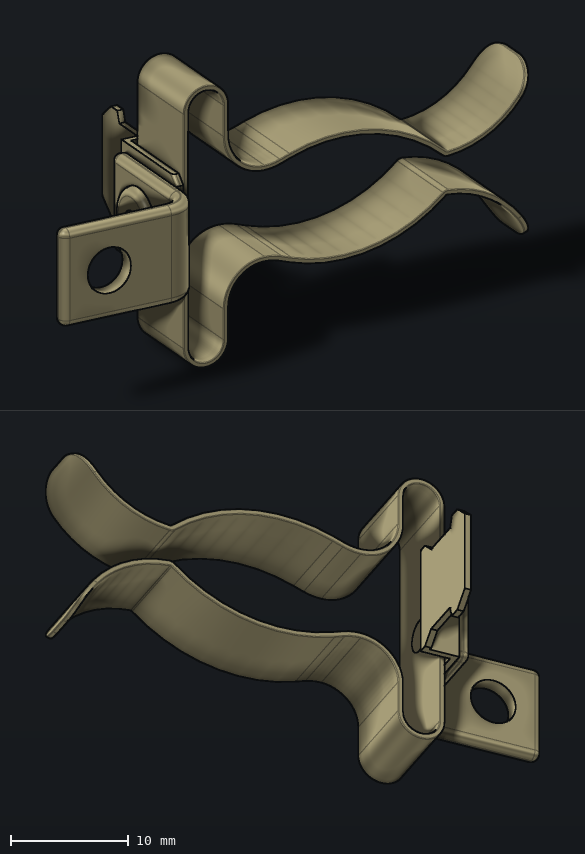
import cadquery as cq
import math


clip_width = 8.0
clip_thickness = 0.5
clip_half_height = 13.01
clip_tip_y = 35.1
loop_depth = 4.4
shoulder_outer_radius = 4.0
waist_radius = 4.8
waist_angle = 19.2
jaw_center_y = 16.04
jaw_center_z = -9.6
jaw_radius = 15.25
flare_radius = 9.7
flare_center_y = 25.71
flare_center_z = 11.45
tip_corner_radius = 3.0
mouth_inner_radius = 0.2
clip_edge_radius = 0.08
smallest_gap = 1e-6

latch_thickness = 0.6
latch_half_height = 5.05
latch_step = 3.36
latch_left = -13.83
latch_right = 4.0
riser_left = -5.62
latch_corner_chamfer = 0.8
latch_end_fillet = 0.3
nose_half_height = 3.75
nose_length = 1.5
barb_length = 1.1
neck_half_height = 4.0
neck_left = -10.87
neck_right = -7.1
neck_end = -5.9

bracket_thickness = 1.5
bracket_height = 9.0
bracket_left = -4.77
bracket_right = 8.28
bracket_bottom = -13.62
bend_outer_radius = 3.0
bracket_edge_radius = 0.7
mount_hole_diameter = 4.2
mount_hole_y = -9.03

rivet_head_radius = 3.0
rivet_head_height = 0.75
rivet_shank_radius = 1.5
dimple_radius = 1.0
dimple_depth = 0.7

clip_back_y = latch_thickness
clip_inner_y = clip_back_y + clip_thickness


def polar(center, radius, degrees):
    angle = math.radians(degrees)
    return (center[0] + radius * math.cos(angle), center[1] + radius * math.sin(angle))


def triangle_angle(side, other, opposite):
    """Angle in degrees between two sides of a triangle, from its three lengths."""
    cosine = (side ** 2 + other ** 2 - opposite ** 2) / (2 * side * other)
    return math.degrees(math.acos(cosine))


def rivet_hole(radius):
    """Cylinder on the rivet axis, long enough to cut every layer."""
    reach = latch_step + bracket_thickness
    return cq.Workplane("XZ", origin=(0, reach, 0)).circle(radius).extrude(2 * reach)


def clip_arcs(offset):
    """Arcs of one face of the upper arm, offset outward from mid-strip.

    Each arc is (center, radius, start, end), angles in degrees, from the loop to the tip.
    """
    half = clip_thickness / 2

    loop_center = (clip_back_y + loop_depth / 2, clip_half_height - loop_depth / 2)
    loop_mid_radius = loop_depth / 2 - half

    shoulder_mid_radius = shoulder_outer_radius - half
    waist_y = clip_back_y + loop_depth - half + shoulder_mid_radius

    jaw_center = (jaw_center_y, jaw_center_z)
    jaw_start = 90 + waist_angle
    jaw_point = polar(jaw_center, jaw_radius, jaw_start)
    slope = math.radians(waist_angle)
    waist_end_y = waist_y + waist_radius * math.sin(slope)
    waist_end_z = jaw_point[1] - (jaw_point[0] - waist_end_y) * math.tan(slope)
    waist_center = (waist_y, waist_end_z + waist_radius * math.cos(slope))
    shoulder_center = (waist_y, waist_center[1] - waist_radius + shoulder_mid_radius)

    flare_center = (flare_center_y, flare_center_z)
    jaw_face_radius = jaw_radius + offset
    flare_face_radius = flare_radius - offset
    across = flare_center_y - jaw_center_y
    rise = flare_center_z - jaw_center_z
    span = math.hypot(across, rise)
    span_angle = math.degrees(math.atan2(rise, across))
    jaw_turn = triangle_angle(jaw_face_radius, span, flare_face_radius)
    flare_turn = triangle_angle(flare_face_radius, span, jaw_face_radius)
    tip_reach = clip_tip_y - half - flare_center_y
    flare_end = -math.degrees(math.acos(tip_reach / flare_radius))

    return [
        (loop_center, loop_mid_radius + offset, 180, 0),
        (shoulder_center, shoulder_mid_radius - offset, 180, 270),
        (waist_center, waist_radius - offset, 270, 270 + waist_angle),
        (jaw_center, jaw_face_radius, jaw_start, span_angle - jaw_turn),
        (flare_center, flare_face_radius, span_angle - 180 + flare_turn, flare_end),
    ]


def trace_arcs(outline, arcs):
    """Continue an outline along arcs, with a straight line across each gap."""
    pen = None
    for center, radius, start, end in arcs:
        arc_start = polar(center, radius, start)
        if pen is None or math.dist(pen, arc_start) > smallest_gap:
            outline = outline.lineTo(*arc_start)
        pen = polar(center, radius, end)
        middle = polar(center, radius, (start + end) / 2)
        outline = outline.threePointArc(middle, pen)
    return outline


def tip_point():
    """Middle of the end face of the upper arm, as (Y, Z)."""
    center, radius, _, end = clip_arcs(0)[-1]
    return polar(center, radius, end)


def make_clip():
    half = clip_thickness / 2
    outer_arcs = clip_arcs(half)
    inner_arcs = [(center, radius, end, start) for center, radius, start, end in clip_arcs(-half)[::-1]]

    section = cq.Workplane("YZ", origin=(-clip_width / 2, 0, 0)).moveTo(clip_back_y, 0)
    section = trace_arcs(section, outer_arcs)
    section = trace_arcs(section, inner_arcs).lineTo(clip_inner_y, 0).close()
    upper_arm = section.extrude(clip_width)

    tip_face = upper_arm.faces(cq.selectors.NearestToPointSelector((0, *tip_point())))
    upper_arm = tip_face.edges("not |X").fillet(tip_corner_radius)

    mouth_radii = ((half, mouth_inner_radius), (-half, mouth_inner_radius + clip_thickness))
    for offset, radius in mouth_radii:
        center, jaw_face_radius, _, mouth_angle = clip_arcs(offset)[-2]
        mouth = polar(center, jaw_face_radius, mouth_angle)
        corner = cq.selectors.NearestToPointSelector((0, *mouth))
        upper_arm = upper_arm.edges("|X").edges(corner).fillet(radius)

    clip = upper_arm.union(upper_arm.mirror("XY"), clean=True)
    clip = clip.faces("<X or >X").edges().fillet(clip_edge_radius)
    return clip.cut(rivet_hole(rivet_shank_radius))


def make_latch():
    """Latch plate: its Z-bent section is trimmed to its front outline."""
    t = latch_thickness
    bent = (
        cq.Workplane("XY", origin=(0, 0, -latch_half_height))
        .moveTo(latch_right, 0)
        .lineTo(riser_left, 0)
        .lineTo(riser_left, latch_step - t)
        .lineTo(latch_left, latch_step - t)
        .lineTo(latch_left, latch_step)
        .lineTo(riser_left + t, latch_step)
        .lineTo(riser_left + t, t)
        .lineTo(latch_right, t)
        .close()
        .extrude(2 * latch_half_height)
    )
    bent = bent.edges("|Y and >X").chamfer(latch_corner_chamfer)
    end_rim = cq.selectors.BoxSelector(
        (latch_right - latch_corner_chamfer, -t / 2, -latch_half_height),
        (latch_right + t, t / 2, latch_half_height),
    )
    bent = bent.faces("<Y").edges(end_rim).fillet(latch_end_fillet)

    nose_end = latch_left + nose_length
    notch = (
        cq.Workplane("XZ", origin=(0, latch_step, 0))
        .polyline([
            (nose_end + barb_length, latch_half_height),
            (neck_left, neck_half_height),
            (neck_right, neck_half_height),
            (neck_end, latch_half_height),
        ])
        .close()
        .extrude(t)
    )
    nose_corner = (
        cq.Workplane("XZ", origin=(0, latch_step, 0))
        .polyline([
            (latch_left, nose_half_height),
            (nose_end, latch_half_height),
            (latch_left, latch_half_height),
        ])
        .close()
        .extrude(t)
    )
    for cutter in (notch, nose_corner):
        bent = bent.cut(cutter).cut(cutter.mirror("XY"))
    return bent.cut(rivet_hole(rivet_shank_radius))


def make_bracket():
    t = bracket_thickness
    r_out = bend_outer_radius
    r_in = r_out - t
    bend_center = (bracket_right - r_out, -r_out)
    bracket = (
        cq.Workplane("XY", origin=(0, 0, -bracket_height / 2))
        .moveTo(bracket_left, 0)
        .lineTo(bend_center[0], 0)
        .threePointArc(polar(bend_center, r_out, 45), polar(bend_center, r_out, 0))
        .lineTo(bracket_right, bracket_bottom)
        .lineTo(bracket_right - t, bracket_bottom)
        .lineTo(*polar(bend_center, r_in, 0))
        .threePointArc(polar(bend_center, r_in, 45), polar(bend_center, r_in, 90))
        .lineTo(bracket_left, -t)
        .close()
        .extrude(bracket_height)
    )
    rims = bracket.faces("<Z or >Z or <X or <Y").edges()
    bracket = rims.fillet(bracket_edge_radius)

    mount_hole = (
        cq.Workplane("YZ", origin=(bracket_right - 2 * t, mount_hole_y, 0))
        .circle(mount_hole_diameter / 2)
        .extrude(3 * t)
    )
    return bracket.cut(mount_hole).cut(rivet_hole(rivet_shank_radius))


def make_rivet():
    """Turned profile in (radius, Y), with a conical dimple in the head."""
    seat_y = -bracket_thickness
    head_y = seat_y - rivet_head_height
    crown_radius = rivet_head_radius - rivet_head_height
    crown_center = (crown_radius, seat_y)
    return (
        cq.Workplane("XY")
        .moveTo(0, clip_inner_y)
        .lineTo(rivet_shank_radius, clip_inner_y)
        .lineTo(rivet_shank_radius, seat_y)
        .lineTo(rivet_head_radius, seat_y)
        .threePointArc(polar(crown_center, rivet_head_height, -45), (crown_radius, head_y))
        .lineTo(dimple_radius, head_y)
        .lineTo(0, head_y + dimple_depth)
        .close()
        .revolve(360, (0, 0, 0), (0, 1, 0))
    )


clip = make_clip()
latch = make_latch()
bracket = make_bracket()
rivet = make_rivet()

result = cq.Compound.makeCompound([clip.val(), latch.val(), bracket.val(), rivet.val()])